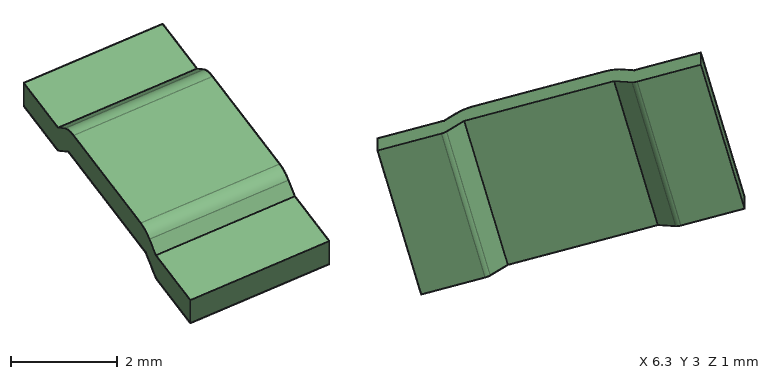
import cadquery as cq
import math

length = 6.3
width = 3.0
height = 1.0
thickness = 0.65
foot_length = 1.3
ramp_angle = 42.0
bridge_fillet = 0.5
foot_fillet = 0.15
underside_half_span = 1.46

half_length = length / 2
rise = height - thickness
ramp_run = rise / math.tan(math.radians(ramp_angle))
top_outer_x = half_length - foot_length
top_inner_x = top_outer_x - ramp_run
underside_outer_x = underside_half_span + ramp_run


def strip_blank():
    """Sharp-cornered bridge profile, extruded across the width and centred on Y."""
    right_half = [
        (underside_half_span, rise),
        (underside_outer_x, 0),
        (half_length, 0),
        (half_length, thickness),
        (top_outer_x, thickness),
        (top_inner_x, height),
    ]
    left_half = [(-x, z) for x, z in reversed(right_half)]
    return (
        cq.Workplane("XZ")
        .polyline(right_half + left_half)
        .close()
        .extrude(width / 2, both=True)
    )


def round_bends(body, bend_x, bend_z, radius):
    """Fillet the mirrored pair of Y-direction edges at x = +/-bend_x, z = bend_z."""
    for x in (-bend_x, bend_x):
        body = body.edges(cq.selectors.NearestToPointSelector((x, 0, bend_z))).fillet(radius)
    return body


result = strip_blank()
result = round_bends(result, top_inner_x, height, bridge_fillet)
result = round_bends(result, underside_outer_x, 0, foot_fillet)